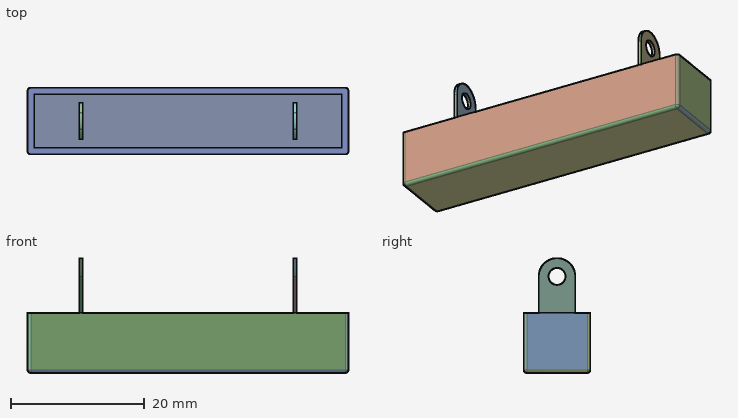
import cadquery as cq

case_length = 48.0
case_width = 10.0
case_height = 9.0
edge_radius = 0.5

wall = 1.0
recess_depth = 0.5

total_height = 17.2
tab_spacing = 32.0
tab_thickness = 0.5
tab_width = 5.5
hole_diameter = 2.5
tab_radius = tab_width / 2
hole_height = total_height - tab_radius
recess_floor = case_height - recess_depth


def make_case():
    """Block with rounded vertical and bottom edges and a shallow recess on top."""
    block = (
        cq.Workplane("XY")
        .box(case_length, case_width, case_height, centered=(True, True, False))
        .edges("|Z or <Z")
        .fillet(edge_radius)
    )
    recess = (
        cq.Workplane("XY")
        .workplane(offset=recess_floor)
        .rect(case_length - 2 * wall, case_width - 2 * wall)
        .extrude(recess_depth)
    )
    return block.cut(recess)


def make_tab(x_center):
    """Flat upright tab with a round top and a hole concentric with it."""
    plane = cq.Workplane("YZ", origin=(x_center - tab_thickness / 2, 0, 0))
    tab = (
        plane.moveTo(-tab_radius, recess_floor)
        .lineTo(-tab_radius, hole_height)
        .threePointArc((0, total_height), (tab_radius, hole_height))
        .lineTo(tab_radius, recess_floor)
        .close()
        .extrude(tab_thickness)
    )
    hole = plane.center(0, hole_height).circle(hole_diameter / 2).extrude(tab_thickness)
    return tab.cut(hole)


result = make_case()
for side in (-1, 1):
    result = result.union(make_tab(side * tab_spacing / 2))